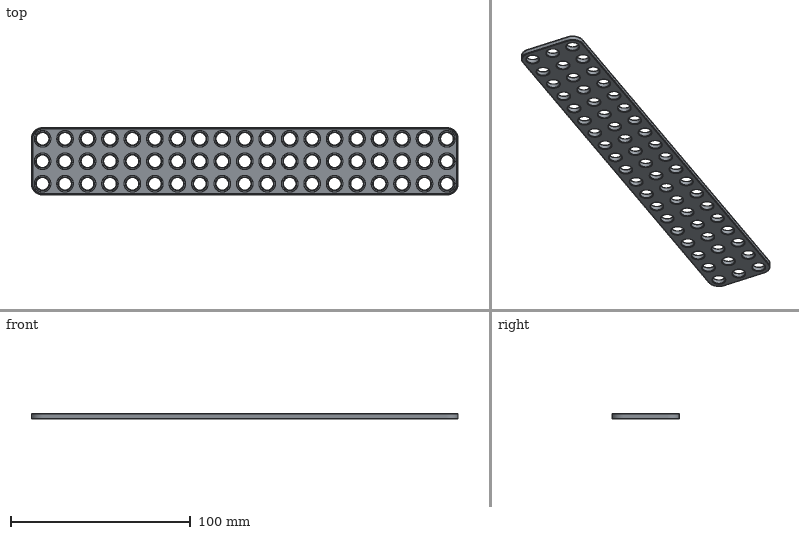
import cadquery as cq

length = 237.5
columns = 19
rows = 3
pitch = length / columns
width = rows * pitch
thickness = 3.0
corner_radius = pitch / 2
chamfer = 0.35

recess_depth = 0.2
border_width = 0.83
collar_diameter = 9.3
collar_width = 1.15
hole_diameter = collar_diameter - 2 * collar_width

top = thickness / 2
bottom = -thickness / 2


def make_plate():
    """Rounded plate, centred on the origin, chamfered around both faces."""
    return (
        cq.Workplane("XY")
        .box(length, width, thickness)
        .edges("|Z")
        .fillet(corner_radius)
        .faces("<Z or >Z")
        .edges()
        .chamfer(chamfer)
    )


def make_recess():
    """Material removed from the top face inside the border and around the collars."""
    floor = cq.Workplane("XY").workplane(offset=top - recess_depth)
    field = (
        floor
        .rect(length - 2 * border_width, width - 2 * border_width)
        .extrude(recess_depth)
        .edges("|Z")
        .fillet(corner_radius - border_width)
    )
    collars = (
        floor
        .rarray(pitch, pitch, columns, rows)
        .circle(collar_diameter / 2)
        .extrude(recess_depth)
    )
    return field.cut(collars)


def make_holes():
    """Through holes, each widened by a 45 degree chamfer at both faces."""
    radius = hole_diameter / 2
    mouth_radius = radius + chamfer
    hole = (
        cq.Workplane("XZ")
        .moveTo(0, bottom)
        .lineTo(mouth_radius, bottom)
        .lineTo(radius, bottom + chamfer)
        .lineTo(radius, top - chamfer)
        .lineTo(mouth_radius, top)
        .lineTo(0, top)
        .close()
        .revolve(360, (0, 0, 0), (0, 1, 0))
        .val()
    )
    return (
        cq.Workplane("XY")
        .rarray(pitch, pitch, columns, rows)
        .eachpoint(lambda place: hole.moved(place), combine=False)
    )


result = make_plate().cut(make_recess()).cut(make_holes())